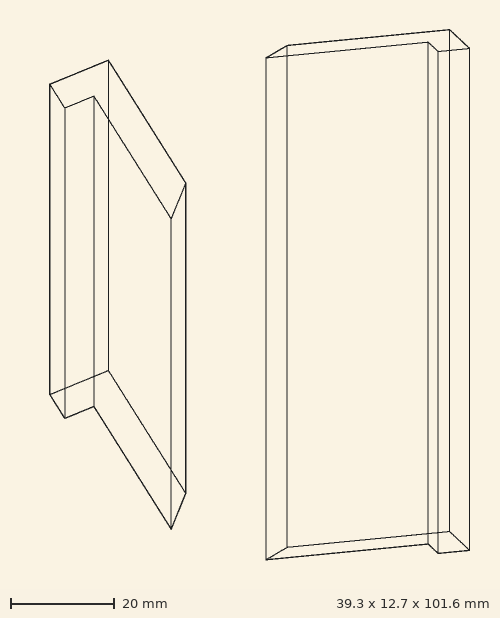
import cadquery as cq

width = 39.3
depth = 12.7
height = 101.6

plate_thickness = 6.4
lip_width = 6.4
bevel_run = 6.4

left = -width / 2
right = width / 2
front = -depth / 2
back = depth / 2
plate_front = back - plate_thickness
lip_right = left + lip_width

section = [
    (left, front),
    (lip_right, front),
    (lip_right, plate_front),
    (right, plate_front),
    (right - bevel_run, back),
    (left, back),
]

result = (
    cq.Workplane("XY")
    .workplane(offset=-height / 2)
    .polyline(section)
    .close()
    .extrude(height)
)